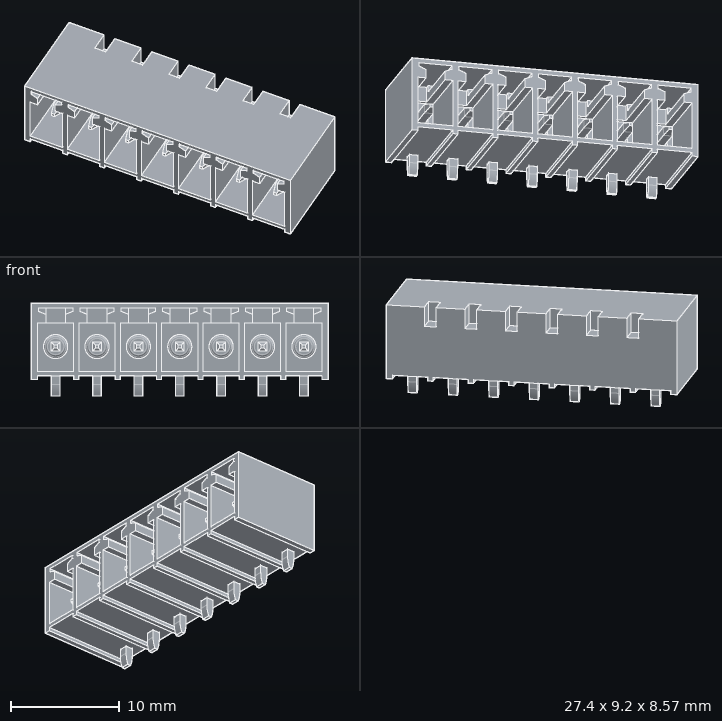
import cadquery as cq

pole_count = 7
pitch = 3.81
end_margin = 2.25
pole_positions = [pole * pitch for pole in range(pole_count)]

housing_length = (pole_count - 1) * pitch + 2 * end_margin
housing_depth = 9.2
housing_height = 7.05
housing_left = -end_margin

groove_height = 0.35
chamber_width = 3.32

chamber_floor = 0.76
chamber_depth = 6.8
shoulder_height = 5.2
slot_width = 1.82
slot_depth = 6.3
flare_width = 3.16
flare_depth = 5.8
flare_inner_height = 6.02
flare_outer_height = 6.3
slot_top = 6.62

boss_base_radius = 1.11
boss_tip_radius = 0.92
boss_length = 1.0
boss_edge_radius = 0.2

notch_width = 1.1
notch_depth = 1.9
notch_floor = shoulder_height

pin_size = 0.82
pin_axis_height = 3.05
pin_front = 1.35
pin_tip_size = 0.3
pin_tip_length = 1.0
leg_thickness = 0.76
leg_axis = housing_depth - 1.28
leg_bottom = -1.52
leg_tip_thickness = 0.34
leg_tip_length = 1.1


def box(x_center, width, y_start, y_end, z_start, z_end):
    """Block centred on x_center in X, between the given Y and Z limits."""
    block = cq.Workplane("XY").box(width, y_end - y_start, z_end - z_start, centered=(True, False, False))
    return block.translate((x_center, y_start, z_start))


def make_pin(x):
    """L-shaped contact: square pin with a pointed front, and a leg with a rounded taper."""
    bar_start = pin_front + pin_tip_length
    bar_bottom = pin_axis_height - pin_size / 2
    bar_top = pin_axis_height + pin_size / 2
    bar = box(x, pin_size, bar_start, leg_axis + leg_thickness / 2, bar_bottom, bar_top)
    point = (
        cq.Workplane("XZ", origin=(x, bar_start, pin_axis_height))
        .rect(pin_size, pin_size)
        .workplane(offset=pin_tip_length)
        .rect(pin_tip_size, pin_tip_size)
        .loft(ruled=True)
    )
    half_thickness = leg_thickness / 2
    half_tip = leg_tip_thickness / 2
    taper_start = leg_bottom + leg_tip_length
    half_leg = (
        cq.Workplane("YZ", origin=(x - pin_size / 2, leg_axis, 0))
        .moveTo(0, pin_axis_height)
        .lineTo(half_thickness, pin_axis_height)
        .lineTo(half_thickness, taper_start)
        .tangentArcPoint((half_tip, leg_bottom), relative=False)
        .lineTo(0, leg_bottom)
        .close()
        .extrude(pin_size)
    )
    leg = half_leg.union(half_leg.mirror("XZ", (x, leg_axis, 0)))
    return bar.union(point).union(leg).clean()


def chamber(x):
    """Space for one plug: the wide chamber, the slot above it and the flared top of the slot."""
    lower = box(x, chamber_width, 0, chamber_depth, chamber_floor, shoulder_height)
    slot = box(x, slot_width, 0, slot_depth, shoulder_height, slot_top)
    flare = (
        cq.Workplane("XZ", origin=(x, 0, 0))
        .moveTo(-slot_width / 2, flare_inner_height)
        .lineTo(slot_width / 2, flare_inner_height)
        .lineTo(flare_width / 2, flare_outer_height)
        .lineTo(flare_width / 2, slot_top)
        .lineTo(-flare_width / 2, slot_top)
        .lineTo(-flare_width / 2, flare_outer_height)
        .close()
        .extrude(-flare_depth)
    )
    return lower.union(slot).union(flare)


def boss(x):
    """Tapered round boss around the pin, with a rounded front edge."""
    return (
        cq.Workplane("XZ", origin=(x, chamber_depth, pin_axis_height))
        .circle(boss_base_radius)
        .workplane(offset=boss_length)
        .circle(boss_tip_radius)
        .loft(ruled=True)
        .faces("<Y")
        .edges()
        .fillet(boss_edge_radius)
    )


def make_housing(pins):
    """One-piece housing with a chamber, boss, groove and pin hole for every pole."""
    housing_center = housing_left + housing_length / 2
    body = box(housing_center, housing_length, 0, housing_depth, 0, housing_height)
    for x, pin in zip(pole_positions, pins):
        body = body.cut(box(x, chamber_width, 0, housing_depth, 0, groove_height))
        body = body.cut(chamber(x)).union(boss(x)).cut(pin)
    notch_start = housing_depth - notch_depth
    for x in pole_positions[:-1]:
        notch = box(x + pitch / 2, notch_width, notch_start, housing_depth, notch_floor, housing_height)
        body = body.cut(notch)
    return body


contact_pins = [make_pin(x) for x in pole_positions]
housing = make_housing(contact_pins)

result = cq.Compound.makeCompound([housing.val(), *[pin.val() for pin in contact_pins]])